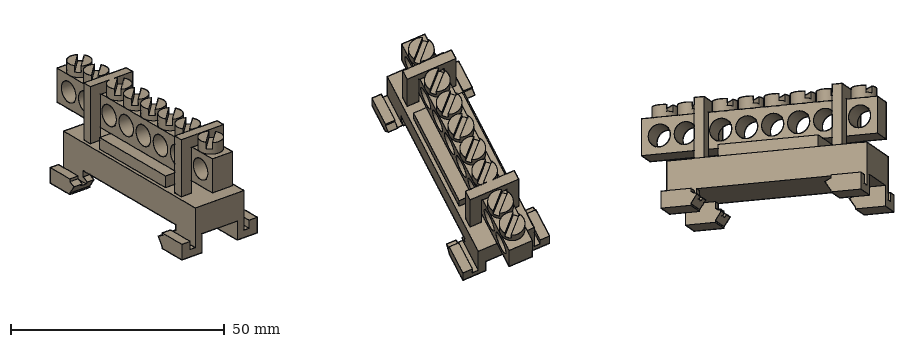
import cadquery as cq


base_length = 50.0
base_width = 14.5
base_height = 7.45

foot_height = 5.0
foot_length = 7.5
foot_outer_width = 22.5
foot_wall = 2.0
foot_floor = 2.0
lip_thickness = 2.5
lip_height = 4.15

nose_reach = 1.55
nose_bottom = 0.4
nose_tip = 2.65
nose_top = 3.4

pad_length = 25.0
pad_width = 12.6
pad_height = 3.05

bar_length = 59.0
bar_width = 6.0
bar_height = 8.95
bar_right_end = 26.1
wire_hole_diameter = 5.5

terminal_pitch = 6.5
terminal_center = -0.1
outer_spacing = 21.7
shared_positions = [terminal_center + i * terminal_pitch for i in range(-2, 3)]
shared_positions.append(terminal_center + outer_spacing)

left_screw = terminal_center - outer_spacing
left_hole_offset = -0.1
left_hole = left_screw + left_hole_offset
hole_positions = [left_hole - terminal_pitch, left_hole, *shared_positions]
end_screw_pitch = 6.4
screw_positions = [left_screw - end_screw_pitch, left_screw, *shared_positions]

screw_diameter = bar_width
screw_height = 3.0
slot_width = 1.55
slot_depth = 1.65
slot_angle = -45

frame_thickness = 2.5
frame_inner_x = 16.0
frame_width = pad_width
window_width = 6.6

base_top = foot_height + base_height
bar_bottom = base_top + pad_height
bar_top = bar_bottom + bar_height
top = bar_top + screw_height


def block(length, width, height, bottom, center_x=0):
    """Box centred on Y = 0 that stands on the given level."""
    plane = cq.Workplane("XY", origin=(center_x, 0, bottom))
    return plane.rect(length, width).extrude(height)


def make_feet():
    """All four hooks: the side outline crossed with the J-shaped end outline."""
    end_x = -base_length / 2
    inner_x = end_x + foot_length
    side_outline = [
        (end_x, 0),
        (inner_x, 0),
        (inner_x, nose_bottom),
        (inner_x + nose_reach, nose_tip),
        (inner_x, nose_top),
        (inner_x, foot_height),
        (end_x, foot_height),
    ]
    wall_y = base_width / 2
    outer_y = foot_outer_width / 2
    hook_outline = [
        (wall_y - foot_wall, 0),
        (outer_y, 0),
        (outer_y, lip_height),
        (outer_y - lip_thickness, lip_height),
        (outer_y - lip_thickness, foot_floor),
        (wall_y, foot_floor),
        (wall_y, foot_height),
        (wall_y - foot_wall, foot_height),
    ]
    side = cq.Workplane("XZ").polyline(side_outline).close().extrude(-outer_y)
    hook = cq.Workplane("YZ").polyline(hook_outline).close().extrude(base_length / 2, both=True)
    foot = side.intersect(hook)
    pair = foot.union(foot.mirror("XZ"))
    return pair.union(pair.mirror("YZ"))


def make_bar():
    """Terminal bar with one wire hole through it per terminal."""
    bar = block(bar_length, bar_width, bar_height, bar_bottom, bar_right_end - bar_length / 2)
    hole_z = bar_bottom + bar_height / 2
    holes = (
        cq.Workplane("XZ", origin=(0, 0, hole_z))
        .pushPoints([(x, 0) for x in hole_positions])
        .circle(wire_hole_diameter / 2)
        .extrude(bar_width, both=True)
    )
    return bar.cut(holes)


def make_screw(x):
    """Screw head with a diagonal slot across its top."""
    head = cq.Workplane("XY").circle(screw_diameter / 2).extrude(screw_height)
    slot = (
        cq.Workplane("XY", origin=(0, 0, screw_height - slot_depth))
        .rect(2 * screw_diameter, slot_width)
        .extrude(slot_depth)
        .rotate((0, 0, 0), (0, 0, 1), slot_angle)
    )
    return head.cut(slot).translate((x, 0, bar_top))


def make_frame(side):
    """Upright frame whose window ends level with the top of the bar."""
    center_x = side * (frame_inner_x + frame_thickness / 2)
    frame = block(frame_thickness, frame_width, top - base_top, base_top, center_x)
    window = block(frame_thickness, window_width, bar_top - base_top, base_top, center_x)
    return frame.cut(window)


result = block(base_length, base_width, base_height, foot_height)
result = result.union(make_feet())
result = result.union(block(pad_length, pad_width, pad_height, base_top))
result = result.union(make_bar())
for side in (-1, 1):
    result = result.union(make_frame(side))
for x in screw_positions:
    result = result.union(make_screw(x))